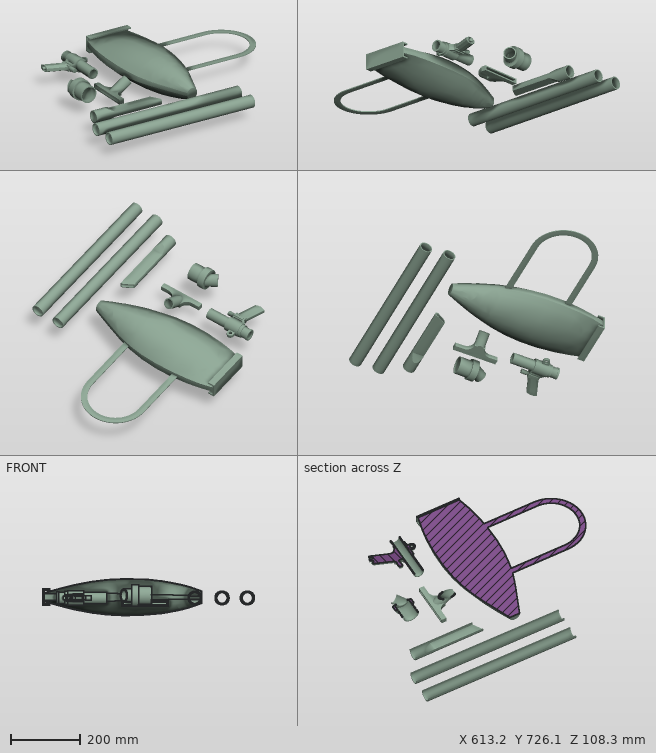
import cadquery as cq
import math


axis_z = -2.0

clip_depth = 20.0
clip_length = 142.0
clip_height = 48.0
clip_wall = 4.0

bag_y = 370.0
bag_sections = [
    (clip_wall, 68.0, 12.0, 9.5),
    (72.5, 83.5, 31.0, 10.0),
    (174.0, 91.5, 50.0, 11.5),
    (261.0, 85.0, 54.0, 9.5),
    (363.0, 56.5, 44.0, 6.5),
    (460.0, 17.0, 17.5, 5.0),
]

strap_x = 218.5
strap_top = 726.0
strap_outer_radius = 101.0
strap_width = 19.0
strap_thickness = 3.0
strap_root_y = bag_y + 58.0

tube_diameter = 38.5
tube_bore = 33.0
tube_ends = [
    ((518.0, 2.0), (520.5, 491.0)),
    ((591.5, 0.0), (594.0, 489.0)),
]

crevice_x = 440.5
crevice_y = 43.5
crevice_diameter = 38.5
crevice_bore = 33.0
crevice_ramp_start = 83.5
crevice_ramp_end = 109.0
crevice_tip_y = 266.5
crevice_half_height = 8.0
crevice_wall = (crevice_diameter - crevice_bore) / 2
mouth_rise = 18.0
mouth_run = 30.0

foot_x = 296.0
foot_y = 181.5
foot_length = 135.0
foot_width = 16.0
foot_bottom = -26.0
foot_height = 15.0
web_radius = 25.0
web_half_width = 17.0
neck_diameter = 33.0
neck_bore = 26.0
neck_tilt = 34.0
neck_rim_y = 252.5
neck_rim_z = 10.0
slot_length = 126.0
slot_height = 8.0
slot_depth = 11.0

elbow_y = 107.5
elbow_z = 5.0
collar_start = 258.0
collar_end = 278.0
sleeve_end = 316.0
collar_diameter = 63.0
sleeve_diameter = 52.0
sleeve_bore = 46.5
inlet_x = 235.0
inlet_y = 94.0
inlet_angle = 32.0
inlet_diameter = 38.0
inlet_bore = 32.0

barrel_y = 205.5
barrel_start = 41.0
barrel_end = 186.0
barrel_diameter = 33.0
barrel_bore = 26.0
lip_length = 6.0
lip_diameter = 35.0
ring_start = 64.0
ring_diameter = 38.5
housing_start = 72.5
housing_end = 118.0
housing_diameter = 42.0
lug_x = 90.0
lug_y = 234.5
lug_diameter = 21.0
lug_hole = 10.0
lug_thickness = 9.5
bracket_thickness = 19.0
bracket_shoulder_y = 186.0
bracket_neck_x = 83.5
bracket_neck_y = 176.0
bracket_bottom = 163.0
rib_start = 88.5
rib_y = 170.0
rib_height = 7.0
rib_thickness = 23.0
groove_start = 86.0
groove_end = 115.0
groove_y = 181.5
groove_height = 3.5
groove_depth = 3.0
knob_y = 171.0
knob_end = 141.0
knob_length = 16.0
knob_diameter = 14.0
stem_diameter = 11.5
grip_top_x = 101.0
grip_top_y = 170.0
grip_bottom_y = 106.0
grip_angle = 20.5
grip_width = 31.0
grip_thickness = 19.5
grip_bevel_width = 9.5
grip_bevel_depth = 5.0
grip_socket = 18.0
grip_socket_depth = 7.0
nub_diameter = 9.5
nub_overhang = 4.0


def rod(start, direction, length, diameter):
    """Solid round bar from a start point along a direction."""
    bar = cq.Solid.makeCylinder(diameter / 2, length, cq.Vector(*start), cq.Vector(*direction))
    return cq.Workplane(obj=bar)


def block(x_range, y_range, z_range):
    """Axis-aligned box between the given limits."""
    size = [high - low for low, high in (x_range, y_range, z_range)]
    return cq.Workplane().box(*size, centered=False).translate((x_range[0], y_range[0], z_range[0]))


def flat_plate(outline, z_low, z_high):
    """Plate with an XY outline of straight edges."""
    return cq.Workplane().workplane(offset=z_low).polyline(outline).close().extrude(z_high - z_low)


def bag_section(x, half_width, crown, wall):
    """Closed lens outline in the YZ plane at the given X."""
    low = bag_y - half_width
    high = bag_y + half_width
    edges = [
        cq.Edge.makeThreePointArc(
            cq.Vector(x, low, wall), cq.Vector(x, bag_y, crown), cq.Vector(x, high, wall)
        ),
        cq.Edge.makeLine(cq.Vector(x, high, wall), cq.Vector(x, high, -wall)),
        cq.Edge.makeThreePointArc(
            cq.Vector(x, high, -wall), cq.Vector(x, bag_y, -crown), cq.Vector(x, low, -wall)
        ),
        cq.Edge.makeLine(cq.Vector(x, low, -wall), cq.Vector(x, low, wall)),
    ]
    return cq.Wire.assembleEdges(edges)


def make_strap():
    arc_y = strap_top - strap_outer_radius

    def arch(radius):
        return (
            cq.Workplane()
            .workplane(offset=-strap_thickness / 2)
            .moveTo(strap_x - radius, strap_root_y)
            .lineTo(strap_x - radius, arc_y)
            .threePointArc((strap_x, arc_y + radius), (strap_x + radius, arc_y))
            .lineTo(strap_x + radius, strap_root_y)
            .close()
            .extrude(strap_thickness)
        )

    return arch(strap_outer_radius).cut(arch(strap_outer_radius - strap_width))


def make_bag():
    sections = [bag_section(*station) for station in bag_sections]
    bag = cq.Workplane(obj=cq.Solid.makeLoft(sections))
    return bag.union(make_strap())


def make_clip():
    y_range = (bag_y - clip_length / 2, bag_y + clip_length / 2)
    half_height = clip_height / 2
    half_gap = half_height - clip_wall
    channel = block((0, clip_depth), y_range, (-half_height, half_height))
    return channel.cut(block((clip_wall, clip_depth), y_range, (-half_gap, half_gap)))


def make_tube(low_end, high_end):
    run = (high_end[0] - low_end[0], high_end[1] - low_end[1], 0)
    length = math.hypot(*run)
    start = (*low_end, axis_z)
    return rod(start, run, length, tube_diameter).cut(rod(start, run, length, tube_bore))


def flattened_rod(diameter, half_height):
    """Round bar along Y, flattened above and below past a ramp."""
    radius = diameter / 2
    upper = [
        (crevice_y, radius),
        (crevice_ramp_start, radius),
        (crevice_ramp_end, half_height),
        (crevice_tip_y, half_height),
    ]
    lower = [(y, -z) for y, z in reversed(upper)]
    side = cq.Workplane("YZ").polyline(upper + lower).close().extrude(radius, both=True)
    bar = rod((0, crevice_y, 0), (0, 1, 0), crevice_tip_y - crevice_y, diameter)
    return bar.intersect(side).translate((crevice_x, 0, axis_z))


def make_crevice_tool():
    radius = crevice_diameter / 2
    left = crevice_x - radius
    mouth = flat_plate(
        [
            (left, crevice_tip_y - mouth_rise),
            (left + mouth_run, crevice_tip_y),
            (left, crevice_tip_y),
        ],
        axis_z - radius,
        axis_z + radius,
    )
    duct = flattened_rod(crevice_bore, crevice_half_height - crevice_wall)
    return flattened_rod(crevice_diameter, crevice_half_height).cut(duct).cut(mouth)


def make_floor_nozzle():
    foot_top = foot_bottom + foot_height
    foot_back = foot_y + foot_width
    half_length = foot_length / 2

    bend = web_radius * math.sqrt(0.5)
    web_start = web_half_width + web_radius
    web_rise = foot_back + web_radius - bend
    foot = (
        cq.Workplane()
        .workplane(offset=foot_bottom)
        .moveTo(-half_length, foot_y)
        .lineTo(half_length, foot_y)
        .lineTo(half_length, foot_back)
        .lineTo(web_start, foot_back)
        .threePointArc((web_start - bend, web_rise), (web_half_width, foot_back + web_radius))
        .lineTo(-web_half_width, foot_back + web_radius)
        .threePointArc((bend - web_start, web_rise), (-web_start, foot_back))
        .lineTo(-half_length, foot_back)
        .close()
        .extrude(foot_height)
        .translate((foot_x, 0, 0))
    )

    tilt = math.radians(neck_tilt)
    direction = (0, -math.cos(tilt), -math.sin(tilt))
    rim = (foot_x, neck_rim_y, neck_rim_z)
    reach = (neck_rim_y - foot_y) / math.cos(tilt)
    above_foot = block(
        (foot_x - neck_diameter, foot_x + neck_diameter),
        (foot_y, neck_rim_y + neck_diameter),
        (foot_bottom, neck_rim_z + neck_diameter),
    )
    neck = rod(rim, direction, reach, neck_diameter).intersect(above_foot)

    slot_middle = (foot_bottom + foot_top) / 2
    slot = block(
        (foot_x - slot_length / 2, foot_x + slot_length / 2),
        (foot_y, foot_y + slot_depth),
        (slot_middle - slot_height / 2, slot_middle + slot_height / 2),
    )
    bore_length = (neck_rim_y - foot_y - slot_depth) / math.cos(tilt)
    bore = rod(rim, direction, bore_length, neck_bore)
    floor = block(
        (foot_x - half_length, foot_x + half_length),
        (foot_y, neck_rim_y),
        (foot_bottom, slot_middle - slot_height / 2),
    )
    return foot.union(neck).cut(slot).cut(bore.cut(floor))


def make_elbow():
    along_x = (1, 0, 0)
    angle = math.radians(inlet_angle)
    inlet_direction = (math.cos(angle), math.sin(angle), 0)
    inlet_start = (inlet_x, inlet_y, elbow_z)
    inlet_reach = (collar_end - inlet_x) * math.cos(angle)
    wall = (sleeve_diameter - sleeve_bore) / 2

    collar = rod((collar_start, elbow_y, elbow_z), along_x, collar_end - collar_start, collar_diameter)
    sleeve = rod((collar_start, elbow_y, elbow_z), along_x, sleeve_end - collar_start, sleeve_diameter)
    inlet = rod(inlet_start, inlet_direction, inlet_reach, inlet_diameter)
    bore_start = collar_start + wall
    bore = rod((bore_start, elbow_y, elbow_z), along_x, sleeve_end - bore_start, sleeve_bore)
    inlet_hole = rod(inlet_start, inlet_direction, inlet_reach, inlet_bore)
    return inlet.union(collar).union(sleeve).cut(bore).cut(inlet_hole)


def make_barrel():
    """Stepped barrel with its lip, ring and housing, still without the bore."""
    steps = [
        (barrel_start, barrel_end, barrel_diameter),
        (barrel_start, barrel_start + lip_length, lip_diameter),
        (ring_start, housing_start, ring_diameter),
        (housing_start, housing_end, housing_diameter),
    ]
    barrel = cq.Workplane()
    for start, end, diameter in steps:
        barrel = barrel.add(rod((start, barrel_y, axis_z), (1, 0, 0), end - start, diameter))
    return barrel.combine()


def make_lug():
    low = axis_z - lug_thickness / 2
    eye = rod((lug_x, lug_y, low), (0, 0, 1), lug_thickness, lug_diameter)
    root = block(
        (lug_x - lug_diameter / 2, lug_x + lug_diameter / 2),
        (barrel_y, lug_y),
        (low, low + lug_thickness),
    )
    return eye.union(root).cut(rod((lug_x, lug_y, low), (0, 0, 1), lug_thickness, lug_hole))


def make_bracket():
    """Ribbed and grooved plate that joins the barrel to the grip, with the hose knob on its +X side."""
    outline = [
        (housing_start, barrel_y),
        (housing_start, bracket_shoulder_y),
        (bracket_neck_x, bracket_neck_y),
        (bracket_neck_x, bracket_bottom),
        (housing_end, bracket_bottom),
        (housing_end, barrel_y),
    ]
    half = bracket_thickness / 2
    plate = flat_plate(outline, axis_z - half, axis_z + half)
    rib = block(
        (rib_start, housing_end),
        (rib_y, rib_y + rib_height),
        (axis_z - rib_thickness / 2, axis_z + rib_thickness / 2),
    )
    groove = block(
        (groove_start, groove_end),
        (groove_y, groove_y + groove_height),
        (axis_z + half - groove_depth, axis_z + half),
    )
    far_groove = groove.mirror("XY", (0, 0, axis_z))
    stem_length = knob_end - housing_end
    stem = rod((housing_end, knob_y, axis_z), (1, 0, 0), stem_length, stem_diameter)
    knob = rod((knob_end - knob_length, knob_y, axis_z), (1, 0, 0), knob_length, knob_diameter)
    return plate.union(rib).cut(groove).cut(far_groove).union(stem).union(knob)


def make_grip():
    """Slanted grip with bevelled long edges, cut level at its lower end."""
    half_width = grip_width / 2
    half_thickness = grip_thickness / 2
    flat_width = half_width - grip_bevel_width
    flat_thickness = half_thickness - grip_bevel_depth
    section = [
        (half_width, flat_thickness),
        (flat_width, half_thickness),
        (-flat_width, half_thickness),
        (-half_width, flat_thickness),
        (-half_width, -flat_thickness),
        (-flat_width, -half_thickness),
        (flat_width, -half_thickness),
        (half_width, -flat_thickness),
    ]
    lean = math.radians(grip_angle)
    down = cq.Vector(-math.sin(lean), -math.cos(lean), 0)
    across = cq.Vector(math.cos(lean), -math.sin(lean), 0)
    top = cq.Vector(grip_top_x, grip_top_y, axis_z)
    reach = (grip_top_y - grip_bottom_y) / math.cos(lean)
    end = top + down * reach

    bar = cq.Workplane(cq.Plane(top, across, down)).polyline(section).close().extrude(reach + half_width)
    grip = bar.intersect(
        block(
            (end.x - grip_width, grip_top_x + grip_width),
            (grip_bottom_y, grip_top_y + half_width),
            (axis_z - half_thickness, axis_z + half_thickness),
        )
    )
    socket_start = top + down * (reach - grip_socket_depth)
    socket = rod(socket_start.toTuple(), down.toTuple(), grip_socket_depth + half_width, grip_socket)
    nub_length = grip_socket_depth + nub_overhang
    nub = rod(socket_start.toTuple(), down.toTuple(), nub_length, nub_diameter)
    return grip.cut(socket).union(nub)


def make_handle():
    handle = make_barrel().union(make_lug()).union(make_bracket()).union(make_grip())
    length = barrel_end - barrel_start
    return handle.cut(rod((barrel_start, barrel_y, axis_z), (1, 0, 0), length, barrel_bore))


bag = make_bag()
clip = make_clip()
tubes = [make_tube(*ends) for ends in tube_ends]
crevice_tool = make_crevice_tool()
floor_nozzle = make_floor_nozzle()
elbow = make_elbow()
handle = make_handle()

result = cq.Compound.makeCompound([
    bag.val(),
    clip.val(),
    *[tube.val() for tube in tubes],
    crevice_tool.val(),
    floor_nozzle.val(),
    elbow.val(),
    handle.val(),
])